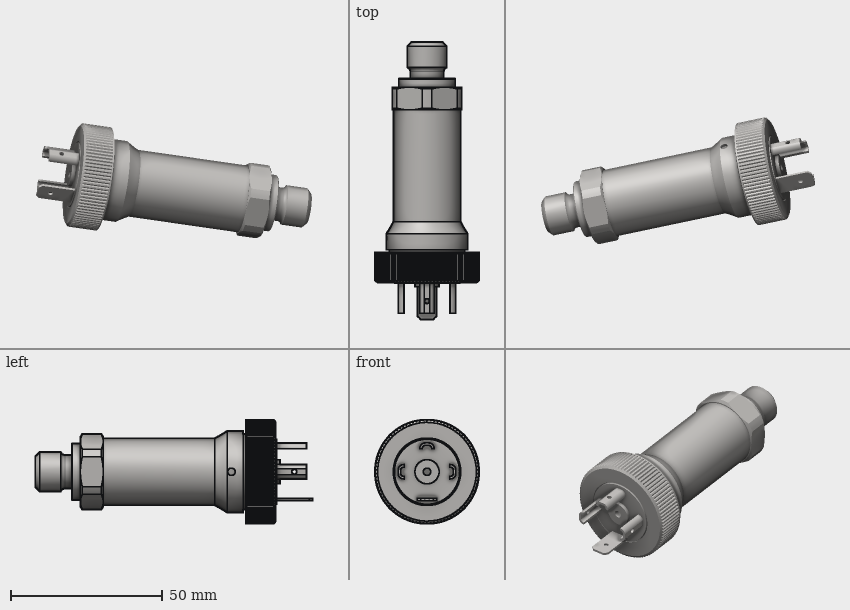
import cadquery as cq
import math


THREAD_DIA = 13.16
THREAD_END = 8.35
TIP_CHAMFER = 1.45
NECK_DIA = 11.2
UNDERCUT_ANGLE = math.radians(60)
UNDERCUT_RADIUS = 1.42
COLLAR_DIA = 18.8
COLLAR_START = 12.0
COLLAR_CHAMFER = 0.3

HEX_START = 14.9
HEX_END = 22.45
HEX_FLATS = 23.0
HEX_CORNER_DIA = 25.0
HEX_CHAMFER_LENGTH = 0.6

BODY_DIA = 22.3
HEAD_DIA = 27.0
HEAD_START = 63.4
HEAD_END = 68.65
FLARE_ANGLE = math.radians(30)
FLARE_SAG = 0.1
GROOVE_DIA = 25.0
VENT_DIA = 2.46
VENT_STATION = 64.8
VENT_DEPTH = 1.0

NUT_DIA = 34.5
NUT_START = 69.45
NUT_END = 79.5
NUT_LIP = 0.45
NUT_CHAMFER_LENGTH = 0.75
NUT_CHAMFER_DEPTH = 0.95
KNURL_COUNT = 90
KNURL_DEPTH = 0.4
KNURL_LAND = 0.4
NUT_BORE_DIA = 22.0
NUT_COUNTERBORE_DIA = 22.3
NUT_COUNTERBORE_DEPTH = 0.5
GAP_DEPTH = 1.0

CARRIER_DIA = 21.5
CARRIER_FACE = 79.7
BOSS_DIA = 8.0
BOSS_FACE = 80.85
BOSS_HOLE_DIA = 2.46
BOSS_HOLE_DEPTH = 4.0

OVERALL_LENGTH = 91.65
CONTACT_OUTER = 9.52
CONTACT_HOLE_DIA = 1.6
CONTACT_EMBED = 0.5
CHANNEL_WIDTH = 4.8
CHANNEL_HEIGHT = 2.0
CHANNEL_OUTER_RADIUS = 4.13 / 2
CHANNEL_INNER_RADIUS = 2.46 / 2
CHANNEL_CREST_WIDTH = 1.9
CHANNEL_END = 89.65
CHANNEL_HOLE_STATION = 85.55
CHANNEL_ANGLES = (0, 90, -90)
BLADE_WIDTH = 6.3
BLADE_THICKNESS = 0.8
BLADE_CORNER = 1.1
BLADE_HOLE_STATION = 87.3


def section_plane(station):
    """Plane across the axis whose normal points toward the pins; local x is X and local y is Z."""
    return cq.Workplane("XZ", origin=(0, -station, 0))


def cylinder(diameter, start, end):
    return section_plane(start).circle(diameter / 2).extrude(end - start)


def turn(outline):
    """Revolve a closed half outline, drawn as (radius, -station), about the Y axis."""
    return outline.close().revolve(360, (0, 0, 0), (0, 1, 0))


def turned_points(points):
    return turn(cq.Workplane("XY").polyline([(radius, -station) for radius, station in points]))


def make_port():
    thread_r = THREAD_DIA / 2
    neck_r = NECK_DIA / 2
    collar_r = COLLAR_DIA / 2
    corner = THREAD_END + (thread_r - neck_r) / math.tan(UNDERCUT_ANGLE)
    tangent = UNDERCUT_RADIUS * math.tan(UNDERCUT_ANGLE / 2)
    arc_start_r = neck_r + tangent * math.sin(UNDERCUT_ANGLE)
    arc_start = corner - tangent * math.cos(UNDERCUT_ANGLE)
    arc_end = corner + tangent
    arc_mid_r = neck_r + UNDERCUT_RADIUS * (1 - math.cos(UNDERCUT_ANGLE / 2))
    arc_mid = arc_end - UNDERCUT_RADIUS * math.sin(UNDERCUT_ANGLE / 2)
    return turn(
        cq.Workplane("XY")
        .moveTo(0, 0)
        .lineTo(thread_r - TIP_CHAMFER, 0)
        .lineTo(thread_r, -TIP_CHAMFER)
        .lineTo(thread_r, -THREAD_END)
        .lineTo(arc_start_r, -arc_start)
        .threePointArc((arc_mid_r, -arc_mid), (neck_r, -arc_end))
        .lineTo(neck_r, -COLLAR_START)
        .lineTo(collar_r - COLLAR_CHAMFER, -COLLAR_START)
        .lineTo(collar_r, -COLLAR_START - COLLAR_CHAMFER)
        .lineTo(collar_r, -HEX_START)
        .lineTo(0, -HEX_START)
    )


def make_hexagon():
    face_r = HEX_FLATS / 2
    corner_r = HEX_CORNER_DIA / 2
    prism = (
        section_plane(HEX_START)
        .polygon(6, HEX_FLATS, circumscribed=True)
        .extrude(HEX_END - HEX_START)
    )
    envelope = turned_points([
        (0, HEX_START),
        (face_r, HEX_START),
        (corner_r, HEX_START + HEX_CHAMFER_LENGTH),
        (corner_r, HEX_END - HEX_CHAMFER_LENGTH),
        (face_r, HEX_END),
        (0, HEX_END),
    ])
    return prism.intersect(envelope)


def make_housing():
    body_r = BODY_DIA / 2
    head_r = HEAD_DIA / 2
    groove_r = GROOVE_DIA / 2
    flare_start = HEAD_START - (head_r - body_r) / math.tan(FLARE_ANGLE)
    flare_mid = (flare_start + HEAD_START) / 2
    flare_mid_r = (body_r + head_r) / 2 - FLARE_SAG
    housing = turn(
        cq.Workplane("XY")
        .moveTo(0, -HEX_END)
        .lineTo(body_r, -HEX_END)
        .lineTo(body_r, -flare_start)
        .threePointArc((flare_mid_r, -flare_mid), (head_r, -HEAD_START))
        .lineTo(head_r, -HEAD_END)
        .lineTo(groove_r, -HEAD_END)
        .lineTo(groove_r, -NUT_START)
        .lineTo(0, -NUT_START)
    )
    vent = (
        cq.Workplane("YZ", origin=(-head_r, -VENT_STATION, 0))
        .circle(VENT_DIA / 2)
        .extrude(VENT_DEPTH)
    )
    return housing.cut(vent)


def make_nut():
    outer_r = NUT_DIA / 2
    root_r = outer_r - KNURL_DEPTH
    pitch = 2 * math.pi / KNURL_COUNT
    half_land = KNURL_LAND * pitch / 2
    teeth = []
    for tooth in range(KNURL_COUNT):
        middle = tooth * pitch
        for radius, angle in (
            (outer_r, middle - half_land),
            (outer_r, middle + half_land),
            (root_r, middle + pitch / 2),
        ):
            teeth.append((radius * math.cos(angle), radius * math.sin(angle)))
    knurl = section_plane(NUT_START).polyline(teeth).close().extrude(NUT_END - NUT_START)
    envelope = turned_points([
        (0, NUT_START),
        (outer_r, NUT_START),
        (outer_r, NUT_END - NUT_CHAMFER_LENGTH),
        (outer_r - NUT_CHAMFER_DEPTH, NUT_END),
        (0, NUT_END),
    ])
    lip = cylinder(NUT_DIA, NUT_START, NUT_START + NUT_LIP)
    bore = cylinder(NUT_BORE_DIA, NUT_END - GAP_DEPTH, NUT_END)
    counterbore = cylinder(NUT_COUNTERBORE_DIA, NUT_END - NUT_COUNTERBORE_DEPTH, NUT_END)
    return knurl.intersect(envelope).union(lip).cut(bore).cut(counterbore)


def make_carrier():
    disc = cylinder(CARRIER_DIA, NUT_END - GAP_DEPTH, CARRIER_FACE)
    boss = cylinder(BOSS_DIA, CARRIER_FACE, BOSS_FACE)
    return disc.union(boss)


def contact_hole(station):
    """Cutter along +Z through one contact on the +Z side."""
    return (
        cq.Workplane("XY", origin=(0, -station, 0))
        .circle(CONTACT_HOLE_DIA / 2)
        .extrude(CONTACT_OUTER)
    )


def make_channel():
    """U-shaped contact on the +Z side, open toward the axis."""
    base = CONTACT_OUTER - CHANNEL_HEIGHT
    wall = CHANNEL_OUTER_RADIUS - CHANNEL_INNER_RADIUS
    center_x = CHANNEL_WIDTH / 2 - CHANNEL_OUTER_RADIUS
    crest_offset = CHANNEL_CREST_WIDTH / 2 - center_x
    center_z = CONTACT_OUTER - math.sqrt(CHANNEL_OUTER_RADIUS ** 2 - crest_offset ** 2)

    def rounded_bar(radius, top):
        start_angle = math.asin((top - center_z) / radius)
        crest_x = center_x + radius * math.cos(start_angle)
        mid_x = center_x + radius * math.cos(start_angle / 2)
        mid_z = center_z + radius * math.sin(start_angle / 2)
        side_x = center_x + radius
        return (
            section_plane(CARRIER_FACE - CONTACT_EMBED)
            .moveTo(-side_x, base)
            .lineTo(-side_x, center_z)
            .threePointArc((-mid_x, mid_z), (-crest_x, top))
            .lineTo(crest_x, top)
            .threePointArc((mid_x, mid_z), (side_x, center_z))
            .lineTo(side_x, base)
            .close()
            .extrude(CHANNEL_END - CARRIER_FACE + CONTACT_EMBED)
        )

    outer = rounded_bar(CHANNEL_OUTER_RADIUS, CONTACT_OUTER)
    inner = rounded_bar(CHANNEL_INNER_RADIUS, CONTACT_OUTER - wall)
    return outer.cut(inner).cut(contact_hole(CHANNEL_HOLE_STATION))


def make_blade():
    """Flat earth contact on the -Z side."""
    blade = (
        section_plane(CARRIER_FACE - CONTACT_EMBED)
        .center(0, CONTACT_OUTER - BLADE_THICKNESS / 2)
        .rect(BLADE_WIDTH, BLADE_THICKNESS)
        .extrude(OVERALL_LENGTH - CARRIER_FACE + CONTACT_EMBED)
        .edges("|Z and <Y")
        .chamfer(BLADE_CORNER)
        .cut(contact_hole(BLADE_HOLE_STATION))
    )
    return blade.rotate((0, 0, 0), (0, 1, 0), 180)


result = make_port()
for section in (make_hexagon(), make_housing(), make_nut(), make_carrier()):
    result = result.union(section)

channel = make_channel()
for angle in CHANNEL_ANGLES:
    result = result.union(channel.rotate((0, 0, 0), (0, 1, 0), angle))
result = result.union(make_blade())

result = result.cut(cylinder(BOSS_HOLE_DIA, BOSS_FACE - BOSS_HOLE_DEPTH, BOSS_FACE))